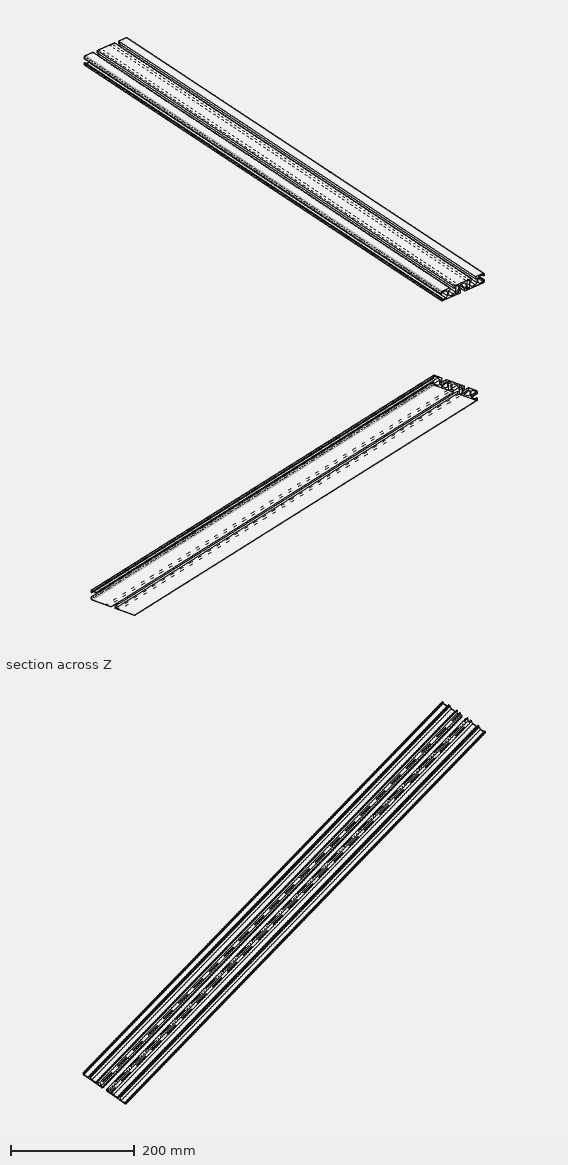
import cadquery as cq

LENGTH = 914.4
WIDTH = 90.0
HEIGHT = 18.5
CORNER_RADIUS = 2.4

MOUTH_WIDTH = 8.2
FACE_LIP = 4.3
SIDE_LIP = 2.0
CAVITY_WIDTH = 14.0
CAVITY_STRAIGHT = 8.0
CAVITY_TAPER = 3.2
CAVITY_FLOOR_WIDTH = 7.6
TOP_SLOT_PITCH = WIDTH / 2

CHAMBER_OFFSET = TOP_SLOT_PITCH / 4
CHAMBER_WIDTH = 5.3
CHAMBER_SKIN = 1.7


def slot_outline(lip):
    """T-slot cross-section whose mouth lies on the line z = 0 and whose cavity hangs below it."""
    shoulder = lip + CAVITY_STRAIGHT
    floor = shoulder + CAVITY_TAPER
    right_side = [
        (MOUTH_WIDTH / 2, 0),
        (MOUTH_WIDTH / 2, -lip),
        (CAVITY_WIDTH / 2, -lip),
        (CAVITY_WIDTH / 2, -shoulder),
        (CAVITY_FLOOR_WIDTH / 2, -floor),
    ]
    left_side = [(-y, z) for y, z in reversed(right_side)]
    return right_side + left_side


def slot_cutter(lip, mouth_y, mouth_z, turn):
    """Full-length slot; its mouth faces +Z until it is turned about the X axis and put in place."""
    cutter = cq.Workplane("YZ").polyline(slot_outline(lip)).close().extrude(LENGTH)
    cutter = cutter.rotate((0, 0, 0), (1, 0, 0), turn)
    return cutter.translate((-LENGTH / 2, mouth_y, mouth_z))


def make_bar():
    """Solid bar, centred on the origin, with rounded long edges."""
    return cq.Workplane("XY").box(LENGTH, WIDTH, HEIGHT).edges("|X").fillet(CORNER_RADIUS)


def cut_slots(body):
    """One slot in the bottom, two in the top and one in each long side."""
    body = body.cut(slot_cutter(FACE_LIP, 0, -HEIGHT / 2, 180))
    for side in (-1, 1):
        body = body.cut(slot_cutter(FACE_LIP, side * TOP_SLOT_PITCH / 2, HEIGHT / 2, 0))
        body = body.cut(slot_cutter(SIDE_LIP, side * WIDTH / 2, 0, -side * 90))
    return body


def cut_chambers(body):
    """Rectangular chambers running the whole length."""
    for side in (-1, 1):
        chamber = cq.Workplane("XY").box(LENGTH, CHAMBER_WIDTH, HEIGHT - 2 * CHAMBER_SKIN)
        body = body.cut(chamber.translate((0, side * CHAMBER_OFFSET, 0)))
    return body


bar = make_bar()
slotted_bar = cut_slots(bar)
result = cut_chambers(slotted_bar)